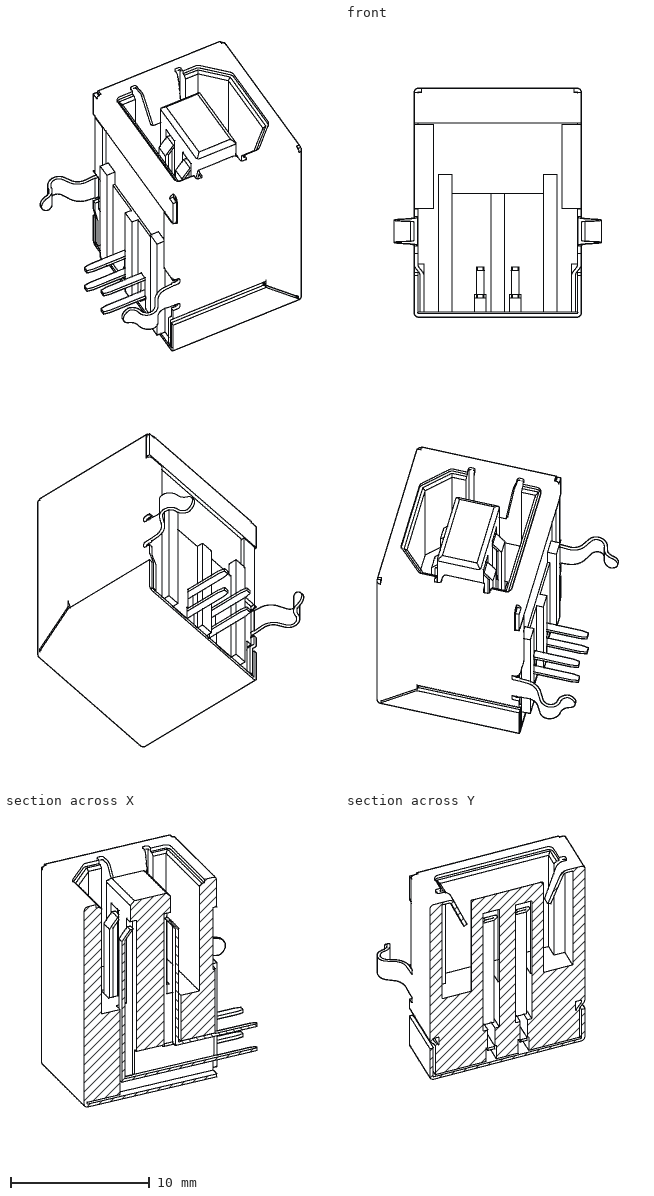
import cadquery as cq
import math


width = 12.05
depth = 10.65
height = 16.5
sheet = 0.28
bend_radius = 0.33
half_width = width / 2
inner_half_width = half_width - sheet

band_bottom = 13.98
band_gap = 0.07
flap_bottom = 7.82
flap_top = 13.88
flap_inner_x = 4.62
board_notch_x = 0.55
rear_notch_x = 0.38

opening_half_width = 4.6
opening_front = 1.02
opening_rear = 9.64
opening_corner = 1.85
opening_radius = 0.4

bottom_flap_top = 3.0
bottom_flap_depth = 7.6
step_top = 3.96
step_offset = 0.43
step_ramp_top = 3.68
step_ramp_bottom = 3.14
step_radius = 0.4
seam_width = 0.16

spring_y = 4.52
spring_root_half = 1.57
spring_tip_half = 1.19
spring_tip_x = 3.12
spring_bend_radius = 0.58
spring_angle = 68.0
spring_relief = 0.5
spring_relief_x = 5.05
relief_radius = 0.16
spring_slot_half = spring_root_half + spring_relief

clip_sheet = 0.23
clip_z = 6.19
clip_root_half = 1.07
clip_tip_half = 0.7
clip_length = 4.22
clip_trim_x = 8.25
clip_notch_height = 0.53
clip_notch_depth = 0.55

housing_bottom = 0.4
housing_top = height - sheet
side_recess_top = 3.85
cavity_floor = 7.42
cavity_half_width = 4.2
cavity_front = 1.42
cavity_rear = 9.2
cavity_corner = 1.6
cavity_chamfer = 0.2

tongue_half_width = 2.8
tongue_front = 3.71
tongue_rear = 6.95
tongue_top = 16.09
tongue_top_chamfer = 0.33
tongue_edge_radius = 0.16

panel_top = 8.93
panel_y = 0.12
rib_width = 1.0
rib_y = -0.38
rib_spacing = 3.78
outer_rib_top = 10.26

contact_x = 1.25
contact_sheet = 0.26
pin_width = 0.55
pin_tip_y = -3.22
pin_taper = 0.5
pin_taper_side = 0.08
front_pin_z = 3.37
rear_pin_z = 1.39
blade_width = 0.95
blade_top = 13.78
blade_bend = 12.95
blade_kink = 13.36
blade_kink_lean = 0.31
blade_reach = 0.66
slot_width = 1.24
slot_reach = 0.81
groove_depth = 0.5
groove_top = 14.4
foot_slot_width = 0.81


def block(x0, x1, y0, y1, z0, z1):
    return cq.Workplane("XY").box(x1 - x0, y1 - y0, z1 - z0, centered=False).translate((x0, y0, z0))


def both_sides(shape):
    """The shape on the -X side together with its mirror image."""
    return shape.union(shape.mirror("YZ"))


def plug_outline(half, front, rear, corner, z0, z1, taper=0):
    """Prism with the type-B plug outline: a rectangle with two cut corners at the rear."""
    points = [
        (-half, front), (half, front), (half, rear - corner),
        (half - corner, rear), (-half + corner, rear), (-half, rear - corner),
    ]
    return cq.Workplane("XY", origin=(0, 0, z0)).polyline(points).close().extrude(z1 - z0, taper=taper)


def shell_box():
    outer = block(-half_width, half_width, 0, depth, 0, height)
    outer = outer.edges("|Z and >Y").fillet(bend_radius)
    outer = outer.faces(">Z").edges().fillet(bend_radius)
    outer = outer.faces("<Z").edges("not <Y").fillet(bend_radius)
    return outer.cut(block(-inner_half_width, inner_half_width, sheet, depth - sheet, sheet, height - sheet))


def board_side_openings():
    """Everything removed from the board-side wall around the band and the two flaps."""
    slit = block(-half_width, half_width, 0, sheet, flap_top, band_bottom)
    middle = block(-flap_inner_x, flap_inner_x, 0, sheet, sheet, flap_top)
    below = block(-inner_half_width, inner_half_width, 0, sheet, sheet, flap_bottom)
    band_ends = block(-half_width, half_width, sheet, sheet + band_gap, flap_top, height - bend_radius)
    return slit.union(middle).union(below).union(band_ends)


def flap_edge_rounding():
    """Material outside the bend between a side wall and its flap."""
    x0 = -half_width
    rounding = block(x0, x0 + bend_radius, 0, bend_radius, flap_bottom, flap_top)
    bend = (
        cq.Workplane("XY", origin=(x0 + bend_radius, bend_radius, flap_bottom))
        .circle(bend_radius).extrude(flap_top - flap_bottom)
    )
    return both_sides(rounding.cut(bend))


def corner_reliefs():
    z0 = height - bend_radius
    board = block(-half_width, -half_width + board_notch_x, 0, bend_radius, z0, height)
    rear = block(-half_width, -half_width + rear_notch_x, depth - bend_radius, depth, z0, height)
    return both_sides(board.union(rear))


def plug_opening():
    opening = plug_outline(
        opening_half_width, opening_front, opening_rear, opening_corner, height - sheet, height
    ).edges("|Z").fillet(opening_radius)
    relief_reach = spring_relief_x - cavity_half_width
    for side in (-1, 1):
        relief_y = spring_y + side * (spring_slot_half - spring_relief / 2)
        relief = (
            block(-spring_relief_x, -spring_relief_x + relief_reach, relief_y - spring_relief / 2,
                  relief_y + spring_relief / 2, height - sheet, height)
            .edges("|Z and <X").fillet(relief_radius)
        )
        opening = opening.union(both_sides(relief))
    return opening


def side_spring():
    """Blade bent down from the edge of the plug opening, narrowing towards its end."""
    angle = math.radians(spring_angle)
    root_x = -opening_half_width
    centre_z = height - spring_bend_radius

    def bend_point(radius, turn):
        return (root_x + radius * math.sin(turn), centre_z + radius * math.cos(turn))

    outer_mid = bend_point(spring_bend_radius, angle / 2)
    outer_end = bend_point(spring_bend_radius, angle)
    inner_mid = bend_point(spring_bend_radius - sheet, angle / 2)
    inner_end = bend_point(spring_bend_radius - sheet, angle)
    run = -spring_tip_x - outer_end[0]
    drop = run * math.tan(angle)
    profile = (
        cq.Workplane("XZ", origin=(0, spring_y, 0))
        .moveTo(root_x, height)
        .threePointArc(outer_mid, outer_end)
        .lineTo(outer_end[0] + run, outer_end[1] - drop)
        .lineTo(inner_end[0] + run, inner_end[1] - drop)
        .lineTo(*inner_end)
        .threePointArc(inner_mid, (root_x, height - sheet))
        .close()
    )
    blade = profile.extrude(spring_root_half, both=True)
    taper = [
        (root_x, spring_y - spring_root_half), (-spring_tip_x, spring_y - spring_tip_half),
        (-spring_tip_x, spring_y + spring_tip_half), (root_x, spring_y + spring_root_half),
    ]
    return blade.intersect(cq.Workplane("XY").polyline(taper).close().extrude(height))


def side_step_window():
    """Gap in a side wall above the bottom flap and the slanted seam at the flap's rear end."""
    x0 = -half_width
    window = block(x0, x0 + sheet, 0, bottom_flap_depth, bottom_flap_top, step_top)
    seam_height = seam_width * math.sqrt(2)
    run = bottom_flap_top - bend_radius
    seam_points = [
        (bottom_flap_depth, bottom_flap_top), (bottom_flap_depth + run, bend_radius),
        (bottom_flap_depth + run, bend_radius + seam_height),
        (bottom_flap_depth, bottom_flap_top + seam_height),
    ]
    seam = cq.Workplane("YZ", origin=(x0, 0, 0)).polyline(seam_points).close().extrude(sheet)
    return both_sides(window.union(seam))


def side_step_outline(outside, inside, bottom):
    """Prism between two stepped lines, each given by its X above the step."""
    points = [
        (outside, step_top), (outside, step_ramp_top),
        (outside + step_offset, step_ramp_bottom), (outside + step_offset, bottom),
        (inside + step_offset, bottom), (inside + step_offset, step_ramp_bottom),
        (inside, step_ramp_top), (inside, step_top),
    ]
    return cq.Workplane("XZ").polyline(points).close().extrude(-bottom_flap_depth)


def side_step():
    """Inward step of a side wall."""
    step = side_step_outline(-half_width, -inner_half_width, housing_bottom)
    bends = cq.selectors.BoxSelector(
        (-half_width - 0.16, 0, step_ramp_bottom - 0.16),
        (-inner_half_width + step_offset + 0.16, depth, step_ramp_top + 0.08),
    )
    return both_sides(step.edges("|Y").edges(bends).fillet(step_radius))


def clip_notches():
    notches = cq.Workplane("XY")
    for side in (-1, 1):
        middle_z = clip_z + side * (clip_root_half + clip_notch_height / 2)
        notch = block(-half_width, -inner_half_width, 0, clip_notch_depth,
                      middle_z - clip_notch_height / 2, middle_z + clip_notch_height / 2)
        notches = notches.union(notch.edges("|X and >Y").fillet(relief_radius))
    return both_sides(notches)


def board_clip():
    """Wavy spring leg that continues a side wall through the board."""
    wall_x = -half_width + clip_sheet / 2
    leg_x = -6.15
    path = (
        cq.Workplane("XY", origin=(0, 0, clip_z))
        .moveTo(wall_x, 0)
        .lineTo(wall_x, -0.63)
        .tangentArcPoint((-6.39, -1.57), relative=False)
        .lineTo(-7.01, -1.91)
        .tangentArcPoint((-6.76, -3.15), relative=False)
        .tangentArcPoint((leg_x, -3.75), relative=False)
        .lineTo(leg_x, -clip_length)
    )
    strip = (
        cq.Workplane("XZ", origin=(wall_x, 0, clip_z))
        .rect(clip_sheet, 2 * clip_root_half)
        .sweep(path, transition="right")
    )
    tip_start = clip_tip_half - clip_length
    outline = (
        cq.Workplane("YZ", origin=(-clip_trim_x, 0, clip_z))
        .moveTo(0, -clip_root_half)
        .lineTo(tip_start, -clip_tip_half)
        .threePointArc((-clip_length, 0), (tip_start, clip_tip_half))
        .lineTo(0, clip_root_half)
        .close()
        .extrude(clip_trim_x)
    )
    return strip.intersect(outline)


def make_shell():
    shell = shell_box().cut(board_side_openings()).cut(flap_edge_rounding()).cut(corner_reliefs())
    shell = shell.cut(plug_opening()).cut(side_step_window()).cut(clip_notches())
    return shell.union(side_step()).union(both_sides(side_spring())).union(both_sides(board_clip()))


def housing_block():
    rear = depth - sheet
    core = block(-inner_half_width, inner_half_width, sheet, rear, housing_bottom, housing_top)
    side_recess = block(-inner_half_width, -inner_half_width + step_offset, sheet, bottom_flap_depth,
                        housing_bottom, side_recess_top)
    return core.cut(both_sides(side_recess))


def plug_cavity():
    cavity = plug_outline(
        cavity_half_width, cavity_front, cavity_rear, cavity_corner, cavity_floor, housing_top
    )
    mouth = plug_outline(
        cavity_half_width + cavity_chamfer, cavity_front - cavity_chamfer, cavity_rear + cavity_chamfer,
        cavity_corner + cavity_chamfer * (2 - math.sqrt(2)), housing_top, housing_top - cavity_chamfer, 45,
    )
    spring_slots = block(-spring_relief_x, spring_relief_x, spring_y - spring_slot_half,
                         spring_y + spring_slot_half, cavity_floor, housing_top)
    return cavity.union(mouth).union(spring_slots)


def tongue():
    body = block(-tongue_half_width, tongue_half_width, tongue_front, tongue_rear, cavity_floor, tongue_top)
    body = body.faces(">Z").chamfer(tongue_top_chamfer)
    return body.edges("|Z").fillet(tongue_edge_radius)


def board_side_ribs():
    half_span = rib_spacing + rib_width / 2
    ribs = block(-half_span, half_span, panel_y, sheet, housing_bottom, panel_top)
    for x, top in ((-rib_spacing, outer_rib_top), (0, panel_top), (rib_spacing, outer_rib_top)):
        ribs = ribs.union(block(x - rib_width / 2, x + rib_width / 2, rib_y, sheet, housing_bottom, top))
    return ribs


def contact_passages(x):
    """Slots at one X position for a front and a rear contact."""
    half = slot_width / 2
    rear_end = tongue_rear + slot_reach
    front = block(x - half, x + half, tongue_front - slot_reach, tongue_front + groove_depth,
                  front_pin_z, groove_top)
    rear = block(x - half, x + half, tongue_rear - groove_depth, rear_end, rear_pin_z, groove_top)
    pin_slot = block(x - pin_width / 2, x + pin_width / 2, panel_y, rear_end,
                     rear_pin_z, front_pin_z + contact_sheet)
    foot_slot = block(x - foot_slot_width / 2, x + foot_slot_width / 2, panel_y, rear_end,
                      housing_bottom, rear_pin_z + contact_sheet)
    return front.union(rear).union(pin_slot).union(foot_slot)


def make_shielded_housing():
    """Housing with its shell, joined where the walls touch."""
    housing = housing_block().cut(plug_cavity()).union(tongue()).union(board_side_ribs())
    for x in (-contact_x, contact_x):
        housing = housing.cut(contact_passages(x))
    return housing.union(make_shell())


def make_contact(x, pin_z, outer_y, inward):
    """Bent contact: a tapered pin, a riser and a blade leaning into its groove in the tongue.

    outer_y is the outside of the blade; inward is +1 or -1, the Y direction towards the tongue.
    """
    riser_y = sorted((outer_y, outer_y + inward * contact_sheet))
    pin_half = pin_width / 2
    pin_points = [
        (x - pin_half, riser_y[1]), (x - pin_half, pin_tip_y + pin_taper),
        (x - pin_half + pin_taper_side, pin_tip_y), (x + pin_half - pin_taper_side, pin_tip_y),
        (x + pin_half, pin_tip_y + pin_taper), (x + pin_half, riser_y[1]),
    ]
    pin = cq.Workplane("XY", origin=(0, 0, pin_z)).polyline(pin_points).close().extrude(contact_sheet)
    steps = [(0, pin_z), (0, blade_bend), (blade_kink_lean, blade_kink), (blade_reach, blade_top)]
    outside = [(outer_y + inward * lean, z) for lean, z in steps]
    inside = [(y + inward * contact_sheet, z) for y, z in reversed(outside)]
    blade = (
        cq.Workplane("YZ", origin=(x - blade_width / 2, 0, 0))
        .polyline(outside + inside).close().extrude(blade_width)
    )
    return pin.union(blade)


shielded_housing = make_shielded_housing()

contacts = []
for contact_side in (-1, 1):
    contacts.append(make_contact(contact_side * contact_x, front_pin_z, tongue_front - blade_reach, 1))
    contacts.append(make_contact(contact_side * contact_x, rear_pin_z, tongue_rear + blade_reach, -1))

result = cq.Compound.makeCompound(
    [shielded_housing.val()] + [contact.val() for contact in contacts]
)